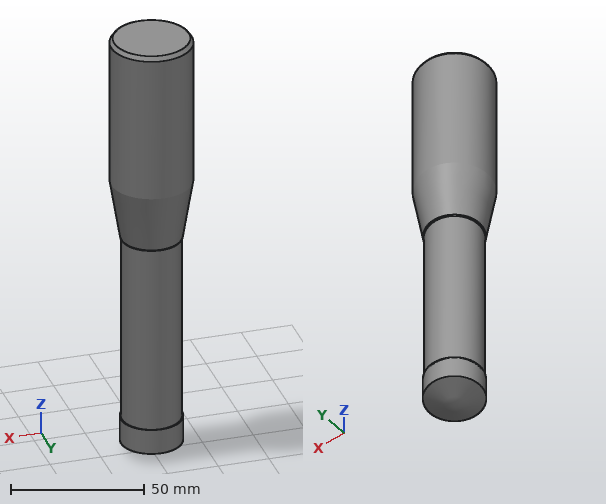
import cadquery as cq
import math

total_length = 175.0
shank_radius = 15.84
neck_radius = 11.5
taper_end_radius = 11.9
head_radius = 11.99

shank_length = 60.2
taper_length = 23.8
bevel_height = 0.5
head_length = 10.2
top_chamfer_height = 1.8
top_chamfer_width = 1.2
point_slope_angle = 20.0

point_height = head_radius * math.tan(math.radians(point_slope_angle))
head_top = point_height + head_length
shank_bottom = total_length - shank_length
taper_bottom = shank_bottom - taper_length


def revolve_profile(points):
    """Revolve a closed (radius, height) outline around the Z axis."""
    return cq.Workplane("XZ").polyline(points).close().revolve(360, (0, 0), (0, 1))


def make_holder():
    """Chamfered shank tapering through a short bevel into the slimmer neck."""
    return revolve_profile([
        (0, head_top),
        (neck_radius, head_top),
        (neck_radius, taper_bottom - bevel_height),
        (taper_end_radius, taper_bottom),
        (shank_radius, shank_bottom),
        (shank_radius, total_length - top_chamfer_height),
        (shank_radius - top_chamfer_width, total_length),
        (0, total_length),
    ])


def make_cutting_head():
    """Pointed cylindrical head, seated flat against the end of the neck."""
    return revolve_profile([
        (0, 0),
        (head_radius, point_height),
        (head_radius, head_top),
        (0, head_top),
    ])


holder = make_holder()
cutting_head = make_cutting_head()

result = cq.Compound.makeCompound([holder.val(), cutting_head.val()])